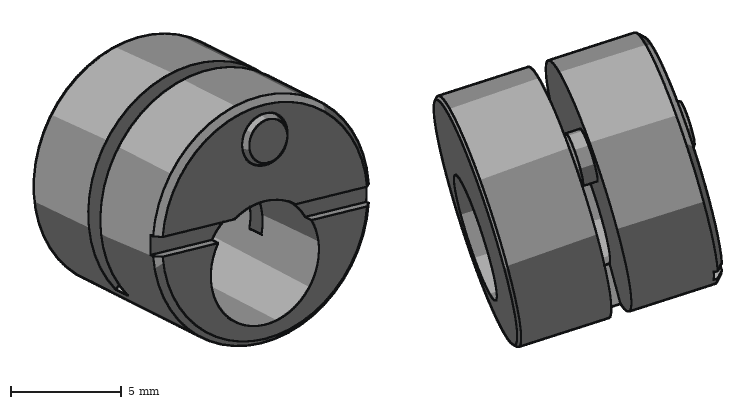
import cadquery as cq
import math

collar_diameter = 12.0
collar_length = 9.9
left_chamfer = 0.15
right_chamfer = 0.31

bore_diameter = collar_diameter / 2
bore_drop = collar_diameter / 6

gap_start = 4.48
gap_width = 0.96
gap_floor_angle = 41.8

driver_slot_width = gap_width
driver_slot_depth = 0.5

screw_diameter = 2.52
screw_height = collar_diameter / 3
screw_end = 10.18
screw_length = screw_end - gap_start
screw_tip_chamfer = 0.28
screw_head_taper_length = 0.41
screw_head_taper_depth = screw_head_taper_length / 2


def rod(diameter, start, length, height):
    """Round rod along X, centred at the given height."""
    plane = cq.Workplane("YZ", origin=(start, 0, height))
    return plane.circle(diameter / 2).extrude(length)


def make_gap():
    """Slab that cuts everything above two radial floors meeting on the collar axis."""
    reach = collar_diameter
    floor_y = reach * math.cos(math.radians(gap_floor_angle))
    floor_z = -reach * math.sin(math.radians(gap_floor_angle))
    return (
        cq.Workplane("YZ", origin=(gap_start, 0, 0))
        .moveTo(0, 0)
        .lineTo(floor_y, floor_z)
        .lineTo(floor_y, reach)
        .lineTo(-floor_y, reach)
        .lineTo(-floor_y, floor_z)
        .close()
        .extrude(gap_width)
    )


def make_driver_slot():
    """Straight slot along Y, right across the face."""
    return cq.Workplane("XY").box(
        2 * driver_slot_depth, collar_diameter, driver_slot_width
    ).translate((collar_length, 0, 0))


def make_screw():
    """Turned profile: chamfered tip at the gap, slim taper at the outer end."""
    radius = screw_diameter / 2
    return (
        cq.Workplane("XZ", origin=(gap_start, 0, screw_height))
        .moveTo(0, 0)
        .lineTo(0, radius - screw_tip_chamfer)
        .lineTo(screw_tip_chamfer, radius)
        .lineTo(screw_length - screw_head_taper_length, radius)
        .lineTo(screw_length, radius - screw_head_taper_depth)
        .lineTo(screw_length, 0)
        .close()
        .revolve(360, (0, 0, 0), (1, 0, 0))
    )


def make_collar():
    blank = rod(collar_diameter, 0, collar_length, 0)
    blank = blank.faces("<X").chamfer(left_chamfer).faces(">X").chamfer(right_chamfer)
    bore = rod(bore_diameter, 0, collar_length, -bore_drop)
    screw_hole = rod(screw_diameter, gap_start, screw_length, screw_height)
    return blank.cut(bore).cut(make_gap()).cut(make_driver_slot()).cut(screw_hole)


screw = make_screw()
collar = make_collar()

result = cq.Compound.makeCompound([collar.solids().val(), screw.solids().val()])